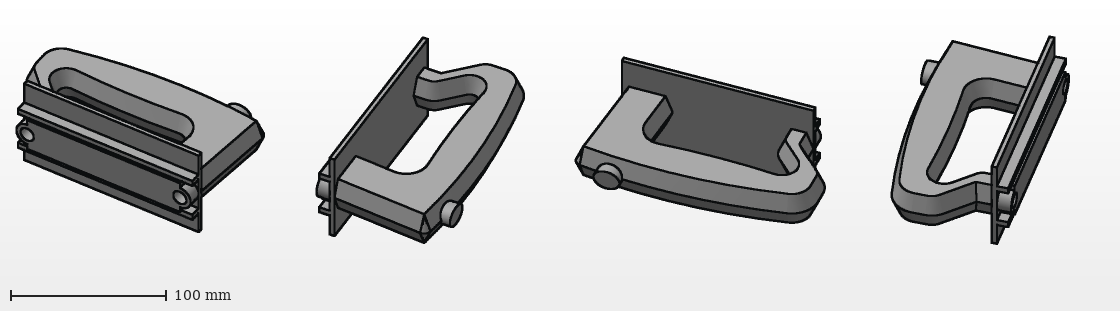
import cadquery as cq
import math


plate_height = 65.0
plate_thickness = 3.5
screw_spacing = 116.0
boss_diameter = 16.5
screw_hole_diameter = 10.0
plate_length = screw_spacing + boss_diameter

grip_width = 24.5
pad_depth = 13.0
rail_depth = 11.0
rails_span = 33.0

ridge_offset = 5.0
half_width = grip_width / 2
side_taper = math.degrees(math.atan(ridge_offset / half_width))
root_y = -10.0
lean = math.tan(math.radians(5.0))
bend = math.radians(45.0)

overall_length = 160.0
rear_top_x = 67.0
rear_top_y = 65.0
rear_reach = rear_top_x + ridge_offset
outer_knee_y = 10.1
front_x = rear_reach - overall_length + ridge_offset
front_foot_x = -plate_length / 2 + ridge_offset
front_knee_y = outer_knee_y + ridge_offset * math.tan(bend / 2)
crown_center_x = 12.0
crown_radius = 415.0
knuckle_radius = 10.0
brow_radius = 13.0

opening_front_x = -69.0
opening_foot_x = -51.0
opening_rear_x = 36.1
opening_roof_x = -16.0
opening_roof_y = 43.6
opening_roof_radius = 545.0
opening_knee_radius = 8.0
opening_front_radius = 11.0
opening_rear_radius = 15.0

button_x = 46.2
button_length = 18.0
button_width = 14.0
button_top_y = 77.5
button_base_y = 60.0


def rounded_outline(sketch, corners):
    """Close a sketch and round the listed (x, y, radius) corners."""
    wire = sketch.close().wire().val()
    for x, y, radius in corners:
        corner = min(wire.Vertices(), key=lambda v: math.hypot(v.X - x, v.Y - y))
        wire = wire.fillet2D(radius, [corner])
    return wire


def sloped_prism(outline, taper):
    """Extrude a flat-face outline to the midplane with sloped sides and mirror it."""
    half = cq.Workplane(cq.Solid.extrudeLinear(outline, [], cq.Vector(0, 0, half_width), taper))
    half = half.translate((0, 0, -half_width))
    return half.union(half.mirror("XY"))


def crown_y(x):
    """Height of the crown arc, which ends at the rear top corner."""
    center_y = rear_top_y - math.sqrt(crown_radius**2 - (rear_top_x - crown_center_x) ** 2)
    return center_y + math.sqrt(crown_radius**2 - (x - crown_center_x) ** 2)


def outer_body():
    front_low_y = front_knee_y + (front_foot_x - front_x) * math.tan(bend)
    front_high_y = crown_y(front_x)
    sketch = (
        cq.Workplane("XY")
        .moveTo(front_foot_x, root_y)
        .lineTo(front_foot_x, front_knee_y)
        .lineTo(front_x, front_low_y)
        .lineTo(front_x, front_high_y)
        .threePointArc((crown_center_x, crown_y(crown_center_x)), (rear_top_x, rear_top_y))
        .lineTo(rear_top_x - (rear_top_y - root_y) * lean, root_y)
    )
    corners = [
        (front_x, front_low_y, knuckle_radius),
        (front_x, front_high_y, brow_radius),
    ]
    return sloped_prism(rounded_outline(sketch, corners), -side_taper)


def finger_opening():
    roof_center_y = opening_roof_y + opening_roof_radius
    arc_x = opening_front_x + opening_front_radius
    arc_drop = math.sqrt((opening_roof_radius + opening_front_radius) ** 2 - (arc_x - opening_roof_x) ** 2)
    arc_y = roof_center_y - arc_drop
    roof_angle = math.atan2(roof_center_y - arc_y, opening_roof_x - arc_x)
    arc_low = (
        arc_x - opening_front_radius * math.sin(bend),
        arc_y - opening_front_radius * math.cos(bend),
    )
    arc_high = (
        arc_x + opening_front_radius * math.cos(roof_angle),
        arc_y + opening_front_radius * math.sin(roof_angle),
    )

    knee_y = arc_low[1] - (opening_foot_x - arc_low[0]) * math.tan(bend)
    rear_high_x = opening_rear_x + opening_roof_y * lean
    rear_high_y = roof_center_y - math.sqrt(opening_roof_radius**2 - (rear_high_x - opening_roof_x) ** 2)
    sketch = (
        cq.Workplane("XY")
        .moveTo(opening_foot_x, root_y)
        .lineTo(opening_foot_x, knee_y)
        .lineTo(*arc_low)
        .threePointArc((opening_front_x, arc_y), arc_high)
        .threePointArc((opening_roof_x, opening_roof_y), (rear_high_x, rear_high_y))
        .lineTo(opening_rear_x + root_y * lean, root_y)
    )
    corners = [
        (opening_foot_x, knee_y, opening_knee_radius),
        (rear_high_x, rear_high_y, opening_rear_radius),
    ]
    return sloped_prism(rounded_outline(sketch, corners), side_taper)


def block_below(length, height, top_y, bottom_y):
    """Box centered on X and Z, spanning top_y down to bottom_y."""
    return cq.Workplane("XY").box(length, top_y - bottom_y, height).translate((0, (top_y + bottom_y) / 2, 0))


def handle():
    trim = block_below(2 * plate_length, plate_height, 0, 4 * root_y)
    return outer_body().cut(finger_opening()).cut(trim)


def button():
    return (
        cq.Workplane("XZ", origin=(button_x, button_top_y, 0))
        .ellipse(button_length / 2, button_width / 2)
        .extrude(button_top_y - button_base_y)
    )


def screw_cylinders(diameter):
    """Cylinders at both screw positions, from the plate down to the pad face."""
    return (
        cq.Workplane("XZ", origin=(0, -plate_thickness, 0))
        .pushPoints([(-screw_spacing / 2, 0), (screw_spacing / 2, 0)])
        .circle(diameter / 2)
        .extrude(pad_depth - plate_thickness)
    )


def base():
    plate = block_below(plate_length, plate_height, 0, -plate_thickness)
    rails = block_below(plate_length, rails_span, -plate_thickness, -rail_depth)
    rails = rails.cut(block_below(plate_length, grip_width, -plate_thickness, -rail_depth))
    pad = block_below(screw_spacing, grip_width, -plate_thickness, -pad_depth)
    body = plate.union(rails).union(pad).union(screw_cylinders(boss_diameter))
    return body.cut(screw_cylinders(screw_hole_diameter))


result = base().union(handle()).union(button())